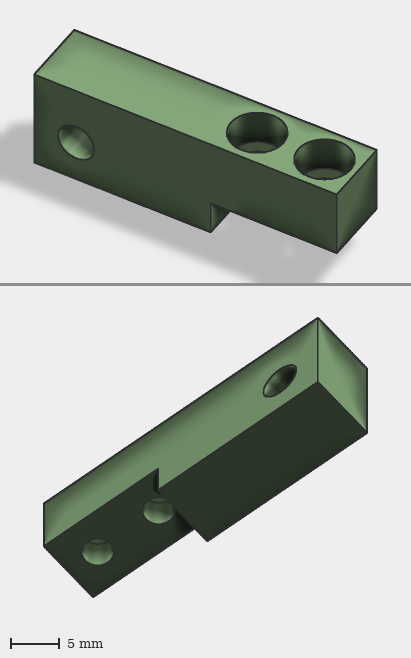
import cadquery as cq

length = 36.0
width = 8.0
height = 12.0

thick_length = 21.0
thin_height = 8.0

pivot_diameter = 4.3
pivot_x = 5.0
pivot_z = 5.0

screw_diameter = 3.3
head_diameter = 6.2
head_depth = 4.0
screw_spacing = 8.0
first_screw_x = 24.15
screw_count = 2


def make_bar():
    """Stepped side profile, extruded evenly to both sides of the XZ plane."""
    step_z = height - thin_height
    return (
        cq.Workplane("XZ")
        .moveTo(0, 0)
        .lineTo(thick_length, 0)
        .lineTo(thick_length, step_z)
        .lineTo(length, step_z)
        .lineTo(length, height)
        .lineTo(0, height)
        .close()
        .extrude(width / 2, both=True)
    )


def make_pivot_hole():
    """Cylinder along Y that passes through the full width."""
    return (
        cq.Workplane("XZ")
        .center(pivot_x, pivot_z)
        .circle(pivot_diameter / 2)
        .extrude(width / 2, both=True)
    )


def cut_screw_holes(bar):
    """Row of counterbored through holes, opened from the top face."""
    centres = [(first_screw_x + i * screw_spacing, 0) for i in range(screw_count)]
    return (
        bar.faces(">Z")
        .workplane(origin=(0, 0, height))
        .pushPoints(centres)
        .cboreHole(screw_diameter, head_diameter, head_depth)
    )


result = cut_screw_holes(make_bar().cut(make_pivot_hole()))